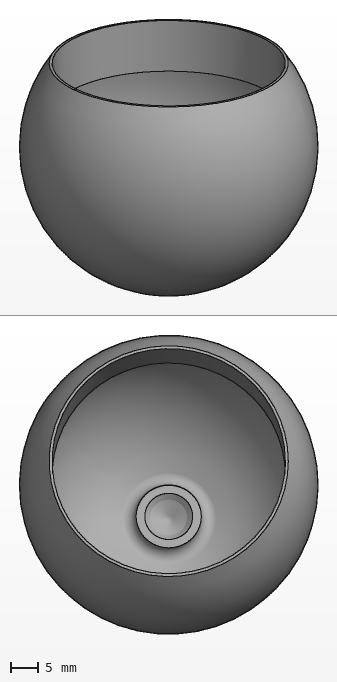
import cadquery as cq
import math


ball_radius = 27.5
rim_height = 16.5
rim_radius = math.sqrt(ball_radius**2 - rim_height**2)
wall_thickness = 2.0
cavity_radius = ball_radius - wall_thickness

rim_width = 0.55
bore_radius = rim_radius - rim_width
collar_depth = 10.0
collar_bottom = rim_height - collar_depth

boss_radius = 6.0
boss_fillet = 2.0

fillet_center_r = boss_radius + boss_fillet
fillet_center_z = -math.sqrt((cavity_radius - boss_fillet) ** 2 - fillet_center_r**2)
fillet_center = (fillet_center_r, fillet_center_z)
boss_top = fillet_center_z

socket_mouth_radius = 4.4
socket_floor_radius = 3.4
socket_taper_depth = socket_mouth_radius - socket_floor_radius
socket_cone_depth = 2.0


def point_on_arc(center, radius, angle):
    """Point (r, z) on a circle of the revolved profile; the angle is in radians."""
    return (center[0] + radius * math.cos(angle), center[1] + radius * math.sin(angle))


def revolve(profile):
    """Turn a closed (r, z) profile a full circle around Z."""
    return profile.close().revolve(360, (0, 0), (0, 1))


def make_ball():
    """Solid ball cut flat at the rim."""
    ball = cq.Workplane("XY").sphere(ball_radius)
    above_rim = cq.Workplane("XY", origin=(0, 0, rim_height)).circle(ball_radius).extrude(ball_radius)
    return ball.cut(above_rim)


def make_cavity():
    """Bored opening, spherical chamber and the space around the boss."""
    ball_center = (0, 0)
    ceiling_angle = math.asin(collar_bottom / cavity_radius)
    touch_angle = math.atan2(fillet_center_z, fillet_center_r)
    chamber_ceiling = point_on_arc(ball_center, cavity_radius, ceiling_angle)
    chamber_middle = point_on_arc(ball_center, cavity_radius, (ceiling_angle + touch_angle) / 2)
    fillet_start = point_on_arc(ball_center, cavity_radius, touch_angle)
    fillet_middle = point_on_arc(fillet_center, boss_fillet, (touch_angle - math.pi) / 2)
    fillet_end = (boss_radius, boss_top)
    profile = (
        cq.Workplane("XZ")
        .moveTo(0, rim_height)
        .lineTo(bore_radius, rim_height)
        .lineTo(bore_radius, collar_bottom)
        .lineTo(*chamber_ceiling)
        .threePointArc(chamber_middle, fillet_start)
        .threePointArc(fillet_middle, fillet_end)
        .lineTo(0, boss_top)
    )
    return revolve(profile)


def make_socket():
    """Tapered hole with a conical bottom, sunk from the boss top."""
    taper_bottom = boss_top - socket_taper_depth
    profile = (
        cq.Workplane("XZ")
        .moveTo(0, boss_top)
        .lineTo(socket_mouth_radius, boss_top)
        .lineTo(socket_floor_radius, taper_bottom)
        .lineTo(0, taper_bottom - socket_cone_depth)
    )
    return revolve(profile)


result = make_ball().cut(make_cavity()).cut(make_socket())